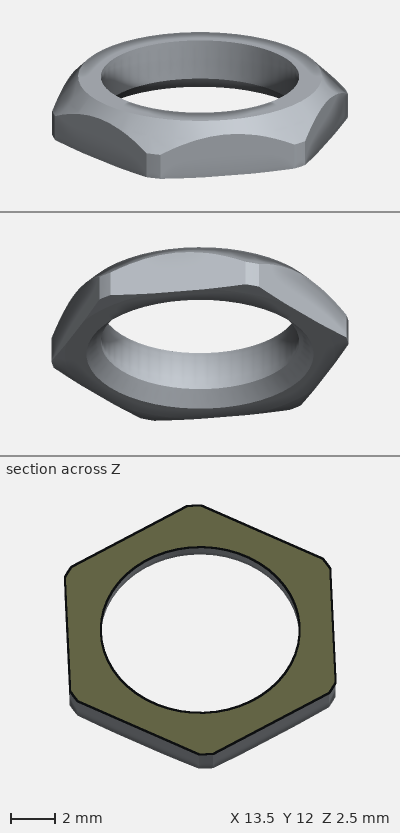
import cadquery as cq
import math

across_flats = 12.0
corner_diameter = 13.5
thickness = 2.5
bore_diameter = 8.95
top_face_diameter = 11.0
bottom_face_diameter = 12.2
bottom_bevel_height = 0.09
bore_chamfer = 0.65

hexagon_sides = 6
corner_radius = corner_diameter / 2
bore_radius = bore_diameter / 2
top_bevel = corner_radius - top_face_diameter / 2


def make_hexagon():
    """Hexagonal prism with two corners on the X axis and two flats facing +Y and -Y."""
    across_corners = across_flats / math.cos(math.pi / hexagon_sides)
    return cq.Workplane("XY").polygon(hexagon_sides, across_corners).extrude(thickness)


def make_turned_ring():
    """Ring turned about Z: bore with countersink, and bevelled outer rims."""
    profile = [
        (bore_radius + bore_chamfer, 0),
        (bottom_face_diameter / 2, 0),
        (corner_radius, bottom_bevel_height),
        (corner_radius, thickness - top_bevel),
        (top_face_diameter / 2, thickness),
        (bore_radius, thickness),
        (bore_radius, bore_chamfer),
    ]
    return cq.Workplane("XZ").polyline(profile).close().revolve(360, (0, 0, 0), (0, 1, 0))


result = make_hexagon().intersect(make_turned_ring())